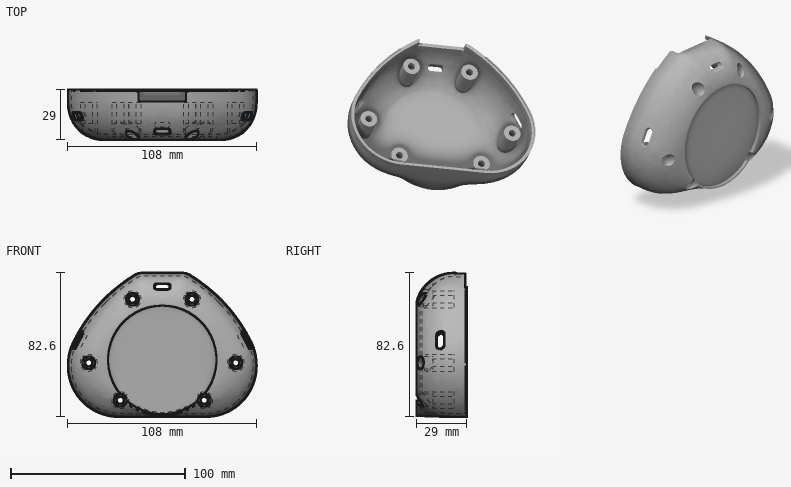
import cadquery as cq
import math


HALF_WIDTH = 54.0
HEIGHT = 82.5
DEPTH = 29.0
BAND_DEPTH = 7.5
WALL = 2.0

LOBE_RADIUS = 29.5
FLANK_RADIUS = 92.0
SHOULDER_RADIUS = 6.0
LOBE_END_Z = 42.3

DISC_Z = 32.7
DISC_RADIUS = 32.0
RECESS_RADIUS = 31.0
RECESS_DEPTH = 2.0
FLOOR_THICKNESS = 1.2

SCREW_PLACES = [(17.0, 67.3), (42.0, 31.0), (24.0, 9.6)]
SCREW_DIAMETER = 4.1
HEAD_DIAMETER = 7.3
POST_WALL = 1.2
SEAT_Y = -19.5

SLOT_CHAMFER = 0.4
SLOT_REACH = 6.0
TOP_SLOT_LENGTH = 8.8
TOP_SLOT_WIDTH = 3.2
TOP_SLOT_CENTRE = (0.0, -24.0, 74.6)
TOP_SLOT_TILT = 3.0
SIDE_SLOT_LENGTH = 10.6
SIDE_SLOT_WIDTH = 4.0
SIDE_SLOT_CENTRE = (48.6, -15.3, 44.1)
SIDE_SLOT_TILT = 24.5

LIP_THICKNESS = 0.6
LIP_DEPTH = 1.0
LIP_TOP_Z = 74.3
NOTCH_HALF_WIDTH = 13.5
NOTCH_END = 6.9
NOTCH_FLOOR_RADIUS = 0.7
NOTCH_MOUTH_RADIUS = 1.2

SECTION_COUNT = 9
POINT_SPACING = 3.5
ROUND_GAP = 21.0
FLATTENING = 0.08


def polar(centre, radius, angle):
    return (centre[0] + radius * math.cos(angle), centre[1] + radius * math.sin(angle))


def half_outline(inset):
    """Right half of the outline, moved inwards by inset, from the middle of the top to the bottom."""
    lobe = (HALF_WIDTH - LOBE_RADIUS, LOBE_RADIUS)
    join_angle = math.asin((LOBE_END_Z - lobe[1]) / LOBE_RADIUS)
    flank = polar(lobe, LOBE_RADIUS - FLANK_RADIUS, join_angle)
    shoulder_reach = FLANK_RADIUS - SHOULDER_RADIUS
    shoulder_angle = math.asin((HEIGHT - SHOULDER_RADIUS - flank[1]) / shoulder_reach)
    shoulder = polar(flank, shoulder_reach, shoulder_angle)

    top = HEIGHT - inset
    path = cq.Workplane("XZ").moveTo(0, top).lineTo(shoulder[0], top)
    for centre, radius, start, end in [
        (shoulder, SHOULDER_RADIUS, math.pi / 2, shoulder_angle),
        (flank, FLANK_RADIUS, shoulder_angle, join_angle),
        (lobe, LOBE_RADIUS, join_angle, -math.pi / 2),
    ]:
        middle = polar(centre, radius - inset, (start + end) / 2)
        path = path.threePointArc(middle, polar(centre, radius - inset, end))
    return path.lineTo(0, inset)


def section(rim, stations, inset, angle, y):
    """Closed half section at depth y; angle runs from 0 on the outline to 90 degrees on the disc."""
    middle = cq.Vector(0, 0, DISC_Z)
    points = []
    for point in rim:
        ray = point - middle
        on_disc = ray.normalized() * (DISC_RADIUS - inset)
        gap = ray - on_disc
        exponent = 1 + FLATTENING * (ROUND_GAP - gap.Length)
        blend = middle + on_disc + gap * math.cos(angle) ** exponent
        points.append(cq.Vector(blend.x, y, blend.z))
    ends = [cq.Vector(1, 0, 0), cq.Vector(-1, 0, 0)]
    skin = cq.Edge.makeSpline(points, tangents=ends, parameters=stations)
    return cq.Wire.assembleEdges([skin, cq.Edge.makeLine(points[-1], points[0])])


def half_body(inset, front):
    """Straight band plus a dome that closes onto the disc along near-elliptic curves, ending at y = -front."""
    rim = [cq.Vector(0, 0, HEIGHT - inset)]
    stations = [0.0]
    for edge in half_outline(inset).wire().val().Edges():
        steps = math.ceil(edge.Length() / POINT_SPACING)
        for i in range(steps):
            rim.append(edge.positionAt((i + 1) / steps))
            stations.append(stations[-1] + edge.Length() / steps)
    sections = []
    for i in range(SECTION_COUNT):
        angle = math.pi / 2 * i / (SECTION_COUNT - 1)
        y = -BAND_DEPTH - (front - BAND_DEPTH) * math.sin(angle)
        sections.append(section(rim, stations, inset, angle, y))
    dome = cq.Solid.makeLoft(sections)
    band = cq.Solid.extrudeLinear(sections[0], [], cq.Vector(0, BAND_DEPTH, 0))
    return cq.Workplane(band).union(cq.Workplane(dome))


def cylinder(x, z, diameter, y_back, y_front):
    plane = cq.Plane(origin=(x, y_back, z), xDir=(1, 0, 0), normal=(0, -1, 0))
    return cq.Workplane(plane).circle(diameter / 2).extrude(y_back - y_front)


def leave_screw_posts(cavity):
    """Cavity reduced so that solid posts remain behind the screw heads, down to the straight band."""
    for x, z in SCREW_PLACES:
        cavity = cavity.cut(cylinder(x, z, HEAD_DIAMETER + 2 * POST_WALL, -BAND_DEPTH, -DEPTH))
    return cavity


def cut_screw_holes(part):
    for x, z in SCREW_PLACES:
        part = part.cut(cylinder(x, z, HEAD_DIAMETER, SEAT_Y, -DEPTH))
        part = part.cut(cylinder(x, z, SCREW_DIAMETER, 0, -DEPTH))
    return part


def cut_slot(part, centre, outward, long_axis, length, width):
    """Blind slot in the solid half, chamfered at its mouth; the cavity later opens its inner end."""
    plane = cq.Plane(origin=centre, xDir=long_axis, normal=outward)
    part = part.cut(cq.Workplane(plane).slot2D(length, width).extrude(SLOT_REACH, both=True))

    def at_mouth(edge):
        offset = edge.Center() - plane.origin
        near = offset.Length < length / 2 + SLOT_CHAMFER
        return near and offset.dot(plane.zDir) > -SLOT_REACH / 2 and edge.geomType() != "LINE"

    mouth = part.edges().filter(at_mouth)
    return mouth.chamfer(SLOT_CHAMFER)


def cut_slots(part):
    tilt = math.radians(TOP_SLOT_TILT)
    outward = (0, -math.cos(tilt), math.sin(tilt))
    part = cut_slot(part, TOP_SLOT_CENTRE, outward, (1, 0, 0), TOP_SLOT_LENGTH, TOP_SLOT_WIDTH)

    tilt = math.radians(SIDE_SLOT_TILT)
    outward = (math.cos(tilt), 0, math.sin(tilt))
    uphill = (-math.sin(tilt), 0, math.cos(tilt))
    return cut_slot(part, SIDE_SLOT_CENTRE, outward, uphill, SIDE_SLOT_LENGTH, SIDE_SLOT_WIDTH)


def cut_back_edge(part):
    """Seat for a back cover, with its lip removed at the top, and a cable notch in the top wall."""
    part = part.cut(half_outline(LIP_THICKNESS).close().extrude(LIP_DEPTH))
    gap = cq.Workplane("XY", origin=(0, 0, LIP_TOP_Z)).rect(2 * HALF_WIDTH, 2 * LIP_DEPTH).extrude(HEIGHT)
    mouth_y = -LIP_DEPTH - NOTCH_MOUTH_RADIUS
    notch = (
        cq.Workplane("XY", origin=(0, 0, LIP_TOP_Z))
        .moveTo(0, -LIP_DEPTH)
        .lineTo(NOTCH_HALF_WIDTH + NOTCH_MOUTH_RADIUS, -LIP_DEPTH)
        .radiusArc((NOTCH_HALF_WIDTH, mouth_y), -NOTCH_MOUTH_RADIUS)
        .lineTo(NOTCH_HALF_WIDTH, -NOTCH_END + NOTCH_FLOOR_RADIUS)
        .radiusArc((NOTCH_HALF_WIDTH - NOTCH_FLOOR_RADIUS, -NOTCH_END), NOTCH_FLOOR_RADIUS)
        .lineTo(0, -NOTCH_END)
        .close()
        .extrude(HEIGHT)
    )
    return part.cut(gap).cut(notch)


outer_half = half_body(0, DEPTH)
cavity_half = half_body(WALL, DEPTH - RECESS_DEPTH - FLOOR_THICKNESS)
half = cut_slots(outer_half).cut(leave_screw_posts(cavity_half))
half = half.cut(cylinder(0, DISC_Z, 2 * RECESS_RADIUS, RECESS_DEPTH - DEPTH, -DEPTH))
half = cut_screw_holes(half)
half = cut_back_edge(half)
result = half.union(half.mirror("YZ"))